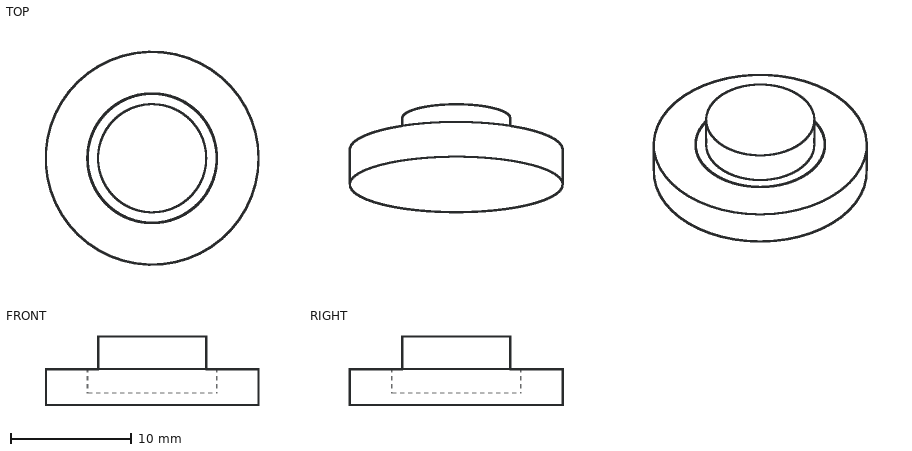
import cadquery as cq

base_diameter = 17.7
base_thickness = 3.0
recess_diameter = 10.8
recess_depth = 2.0

flange_diameter = 10.7
flange_thickness = recess_depth
boss_diameter = 9.0
overall_height = 5.7
boss_height = overall_height - base_thickness


def make_base():
    """Flat disc resting on Z = 0, with a round blind recess in its top."""
    disc = cq.Workplane("XY").circle(base_diameter / 2).extrude(base_thickness)
    return disc.faces(">Z").workplane().hole(recess_diameter, recess_depth)


def make_plug():
    """Round flange on the recess floor, with a smaller coaxial boss on top."""
    floor_height = base_thickness - recess_depth
    flange = (
        cq.Workplane("XY")
        .workplane(offset=floor_height)
        .circle(flange_diameter / 2)
        .extrude(flange_thickness)
    )
    return flange.faces(">Z").workplane().circle(boss_diameter / 2).extrude(boss_height)


base = make_base()
plug = make_plug()

result = cq.Compound.makeCompound([base.val(), plug.val()])